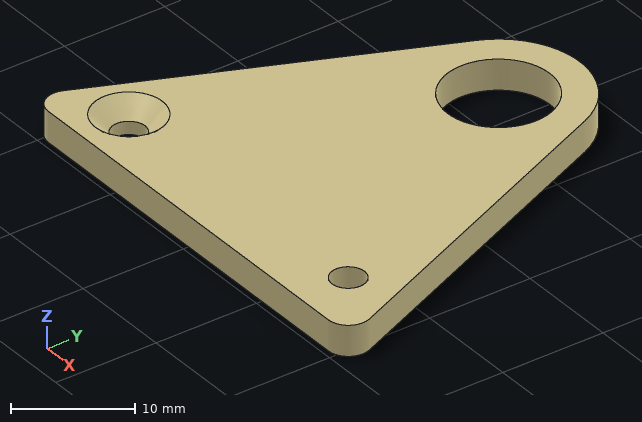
import cadquery as cq
import math

width = 42.3
height = 39.0
thickness = 3.0

corner_radius = 2.0
lobe_radius = 8.08
corner_x = width / 2 - corner_radius
lobe_y = height - lobe_radius

lobe_hole_diameter = 10.15
screw_hole_diameter = 3.2
screw_x = 15.0
screw_y = 5.0
countersink_diameter = 6.65
countersink_angle = 90.0


def point_on_arc(center_x, center_y, radius, angle):
    """Point at the given angle (radians from +X) on a circle."""
    return (center_x + radius * math.cos(angle), center_y + radius * math.sin(angle))


def mirrored(point):
    """Mirror image of a point across the Y axis."""
    return (-point[0], point[1])


def make_plate():
    """Triangular plate whose straight sides are tangent to its rounded ends."""
    rise = lobe_y - corner_radius
    center_distance = math.hypot(corner_x, rise)
    line_angle = math.atan2(rise, -corner_x)
    normal_angle = line_angle - math.acos((corner_radius - lobe_radius) / center_distance)
    corner_mid_angle = (normal_angle - math.pi / 2) / 2

    corner_start = (corner_x, 0)
    corner_mid = point_on_arc(corner_x, corner_radius, corner_radius, corner_mid_angle)
    corner_end = point_on_arc(corner_x, corner_radius, corner_radius, normal_angle)
    lobe_start = point_on_arc(0, lobe_y, lobe_radius, normal_angle)

    return (
        cq.Workplane("XY")
        .moveTo(*mirrored(corner_start))
        .lineTo(*corner_start)
        .threePointArc(corner_mid, corner_end)
        .lineTo(*lobe_start)
        .threePointArc((0, height), mirrored(lobe_start))
        .lineTo(*mirrored(corner_end))
        .threePointArc(mirrored(corner_mid), mirrored(corner_start))
        .close()
        .extrude(thickness)
    )


def cut_holes(plate):
    """Large lobe hole, plain right screw hole and countersunk left screw hole."""
    top = cq.Workplane("XY", origin=(0, 0, thickness))
    plate = plate.cut(top.center(0, lobe_y).circle(lobe_hole_diameter / 2).extrude(-thickness))
    plate = plate.cut(top.center(screw_x, screw_y).circle(screw_hole_diameter / 2).extrude(-thickness))
    return (
        plate.faces(">Z")
        .workplane(origin=(0, 0, thickness))
        .center(-screw_x, screw_y)
        .cskHole(screw_hole_diameter, countersink_diameter, countersink_angle)
    )


result = cut_holes(make_plate())